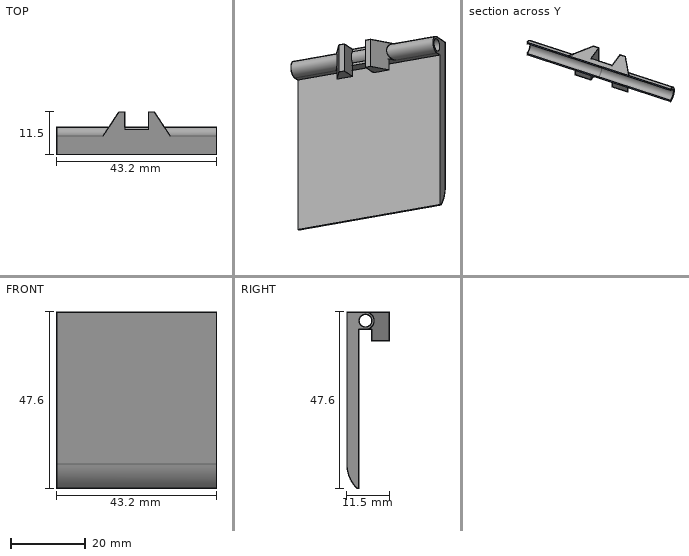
import cadquery as cq

width = 43.2
height = 47.6
plate_thickness = 3.25
nose_height = 6.6
tip_thickness = 0.52

barrel_diameter = 4.65
barrel_back = 7.4
bore_diameter = 3.4
barrel_radius = barrel_diameter / 2
barrel_y = barrel_back - barrel_radius
barrel_z = height - barrel_radius

clip_back = 11.52
web_back = 6.7
prong_height = 7.8
prong_gap = 6.4
clip_tip_half_width = 4.8
clip_root_half_width = 9.05


def make_plate():
    """Plate with a tangent arc running down to its thin bottom edge."""
    profile = (
        cq.Workplane("YZ")
        .moveTo(plate_thickness, 0)
        .lineTo(plate_thickness, height)
        .lineTo(0, height)
        .lineTo(0, nose_height)
        .tangentArcPoint((plate_thickness - tip_thickness, 0), relative=False)
        .close()
    )
    return profile.extrude(width / 2, both=True)


def make_barrel():
    """Round barrel joined to the plate by a full-height block."""
    barrel = (
        cq.Workplane("YZ")
        .center(barrel_y, barrel_z)
        .circle(barrel_radius)
        .extrude(width / 2, both=True)
    )
    block = cq.Workplane("XY").box(
        width, barrel_y, barrel_diameter, centered=(True, False, False)
    )
    return barrel.union(block.translate((0, 0, height - barrel_diameter)))


def make_clip():
    """Tapered block cut back to a web and two taller prongs."""
    clip = (
        cq.Workplane("XY", origin=(0, 0, height - prong_height))
        .moveTo(-clip_root_half_width, barrel_y)
        .lineTo(clip_root_half_width, barrel_y)
        .lineTo(clip_tip_half_width, clip_back)
        .lineTo(-clip_tip_half_width, clip_back)
        .close()
        .extrude(prong_height)
    )
    gap = cq.Workplane("XY", origin=(0, web_back, 0)).box(
        prong_gap, clip_back - web_back, height, centered=(True, False, False)
    )
    below_web = cq.Workplane("XY").box(
        width, web_back, height - barrel_diameter, centered=(True, False, False)
    )
    return clip.cut(gap).cut(below_web)


bore = (
    cq.Workplane("YZ")
    .center(barrel_y, barrel_z)
    .circle(bore_diameter / 2)
    .extrude(width / 2, both=True)
)

result = make_plate().union(make_barrel()).union(make_clip()).cut(bore)